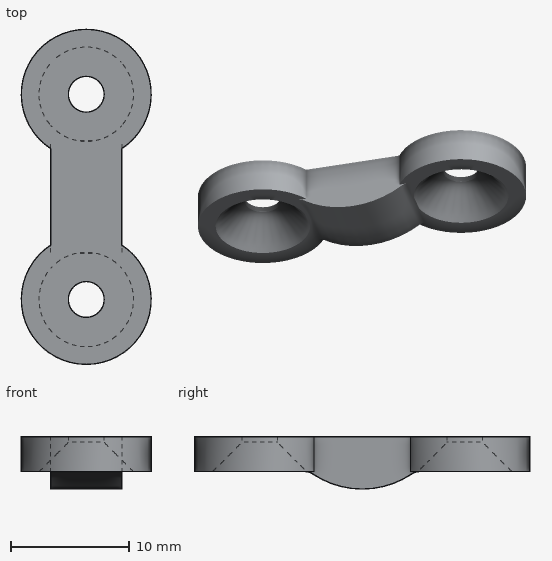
import cadquery as cq
import math

total_length = 28.35
total_height = 4.45
disc_diameter = 11.0
hole_diameter = 3.0
plate_thickness = 2.98
bar_width = 6.0
belly_radius = 7.5
belly_blend_radius = 1.0
recess_diameter = 8.0
recess_half_angle = 45.0

recess_depth = (recess_diameter - hole_diameter) / 2 / math.tan(math.radians(recess_half_angle))
belly_depth = total_height - plate_thickness
pad_spacing = total_length - disc_diameter
pad_centres = [(0, -pad_spacing / 2), (0, pad_spacing / 2)]


def pad_cylinders(diameter):
    """Plate-high cylinders standing on both pad centres."""
    return cq.Workplane("XY").pushPoints(pad_centres).circle(diameter / 2).extrude(plate_thickness)


def make_belly():
    """Convex swell below the bar, with concave blends tangent to the flat underside."""
    belly_centre_z = belly_radius - belly_depth
    centre_distance = belly_radius + belly_blend_radius
    centre_rise = belly_centre_z + belly_blend_radius
    belly_end = math.sqrt(centre_distance**2 - centre_rise**2)
    join_y = belly_end * belly_radius / centre_distance
    join_z = belly_centre_z - centre_rise * belly_radius / centre_distance
    half_angle = math.acos(centre_rise / centre_distance) / 2
    blend_y = belly_end - belly_blend_radius * math.sin(half_angle)
    blend_z = -belly_blend_radius * (1 - math.cos(half_angle))
    return (
        cq.Workplane("YZ")
        .moveTo(-belly_end, 0)
        .threePointArc((-blend_y, blend_z), (-join_y, join_z))
        .threePointArc((0, -belly_depth), (join_y, join_z))
        .threePointArc((blend_y, blend_z), (belly_end, 0))
        .close()
        .extrude(bar_width / 2, both=True)
    )


bar = cq.Workplane("XY").rect(bar_width, pad_spacing).extrude(plate_thickness)
body = pad_cylinders(disc_diameter).union(bar).union(make_belly())

recesses = (
    cq.Workplane("XY")
    .pushPoints(pad_centres)
    .circle(recess_diameter / 2)
    .extrude(recess_depth, taper=recess_half_angle)
)
result = body.cut(pad_cylinders(hole_diameter)).cut(recesses)